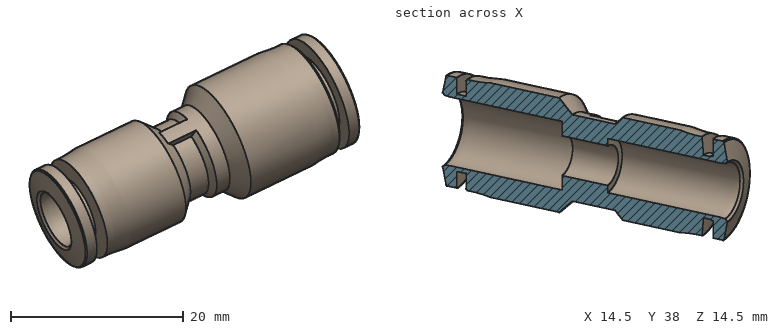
import cadquery as cq

length = 38.05
rear = -length / 2
front = length / 2

small_radius = 6.5
large_diameter = 14.5
large_radius = large_diameter / 2
small_nose_radius = 6.28
large_nose_radius = 7.05
small_flange_radius = 6.28
large_flange_radius = 7.0
small_neck_radius = 4.0
large_neck_radius = 4.9

small_flange_depth = 1.95
small_flare_depth = 2.3
small_nose_start = 3.2
small_nose_end = 4.35
small_taper_end = 6.4
large_flange_depth = 1.98
large_nose_start = 3.12
large_nose_end = 4.4
large_taper_end = 6.43
small_nose_cone_depth = 0.2
large_nose_chamfer = 0.23
neck_flare = 0.15

rim_chamfer = 0.15
dome_depth = 0.45

waist_radius = 4.8
collar_radius = 5.48
small_shoulder = rear + 14.0
large_shoulder = rear + 22.45
collar_start = rear + 18.87

bore_radius = 2.47
small_socket_radius = 3.4
socket_wall = small_neck_radius - small_socket_radius
large_socket_radius = large_neck_radius - socket_wall
socket_depth = 16.0
mouth_radius_gain = 0.38
lead_in_radius_gain = 0.08
mouth_chamfer_depth = 0.3
lead_in_depth = 1.0

rib_width = 1.98


def revolve_profile(points):
    """Revolve a closed outline of (radius, Y) points about the Y axis."""
    return cq.Workplane("XY").polyline(points).close().revolve(360, (0, 0, 0), (0, 1, 0))


def make_body():
    small_waist = small_shoulder + small_radius - waist_radius
    collar_foot = collar_start - (collar_radius - waist_radius)
    collar_end = large_shoulder - (large_radius - collar_radius)
    small_mouth = small_socket_radius + mouth_radius_gain
    large_mouth = large_socket_radius + mouth_radius_gain
    return revolve_profile([
        (0, rear),
        (small_mouth, rear),
        (small_flange_radius - rim_chamfer, rear + dome_depth),
        (small_flange_radius, rear + dome_depth + rim_chamfer),
        (small_flange_radius, rear + small_flange_depth),
        (small_neck_radius + neck_flare, rear + small_flange_depth),
        (small_neck_radius, rear + small_flare_depth),
        (small_neck_radius, rear + small_nose_start),
        (small_nose_radius, rear + small_nose_start + small_nose_cone_depth),
        (small_nose_radius, rear + small_nose_end),
        (small_radius, rear + small_taper_end),
        (small_radius, small_shoulder),
        (waist_radius, small_waist),
        (waist_radius, collar_foot),
        (collar_radius, collar_start),
        (collar_radius, collar_end),
        (large_radius, large_shoulder),
        (large_radius, front - large_taper_end),
        (large_nose_radius, front - large_nose_end),
        (large_nose_radius, front - large_nose_start - large_nose_chamfer),
        (large_nose_radius - large_nose_chamfer, front - large_nose_start),
        (large_neck_radius, front - large_nose_start),
        (large_neck_radius, front - large_flange_depth),
        (large_flange_radius, front - large_flange_depth),
        (large_flange_radius, front - dome_depth - rim_chamfer),
        (large_flange_radius - rim_chamfer, front - dome_depth),
        (large_mouth, front),
        (0, front),
    ])


def make_ribs():
    """Top and bottom ribs, rounded flush with the collar."""
    rib_length = collar_start - small_shoulder
    rib_middle = (collar_start + small_shoulder) / 2
    slab = cq.Workplane("XY").box(rib_width, rib_length, 2 * collar_radius)
    collar_cylinder = cq.Workplane("XZ").circle(collar_radius).extrude(rib_length / 2, both=True)
    return slab.intersect(collar_cylinder).translate((0, rib_middle, 0))


def make_cavity():
    """Through bore with a tube socket, led in by a chamfer and a slight taper, at each end."""
    small_floor = rear + socket_depth
    large_floor = front - socket_depth
    return revolve_profile([
        (0, rear),
        (small_socket_radius + mouth_radius_gain, rear),
        (small_socket_radius + lead_in_radius_gain, rear + mouth_chamfer_depth),
        (small_socket_radius, rear + lead_in_depth),
        (small_socket_radius, small_floor),
        (bore_radius, small_floor),
        (bore_radius, large_floor),
        (large_socket_radius, large_floor),
        (large_socket_radius, front - lead_in_depth),
        (large_socket_radius + lead_in_radius_gain, front - mouth_chamfer_depth),
        (large_socket_radius + mouth_radius_gain, front),
        (0, front),
    ])


result = make_body().union(make_ribs()).cut(make_cavity())